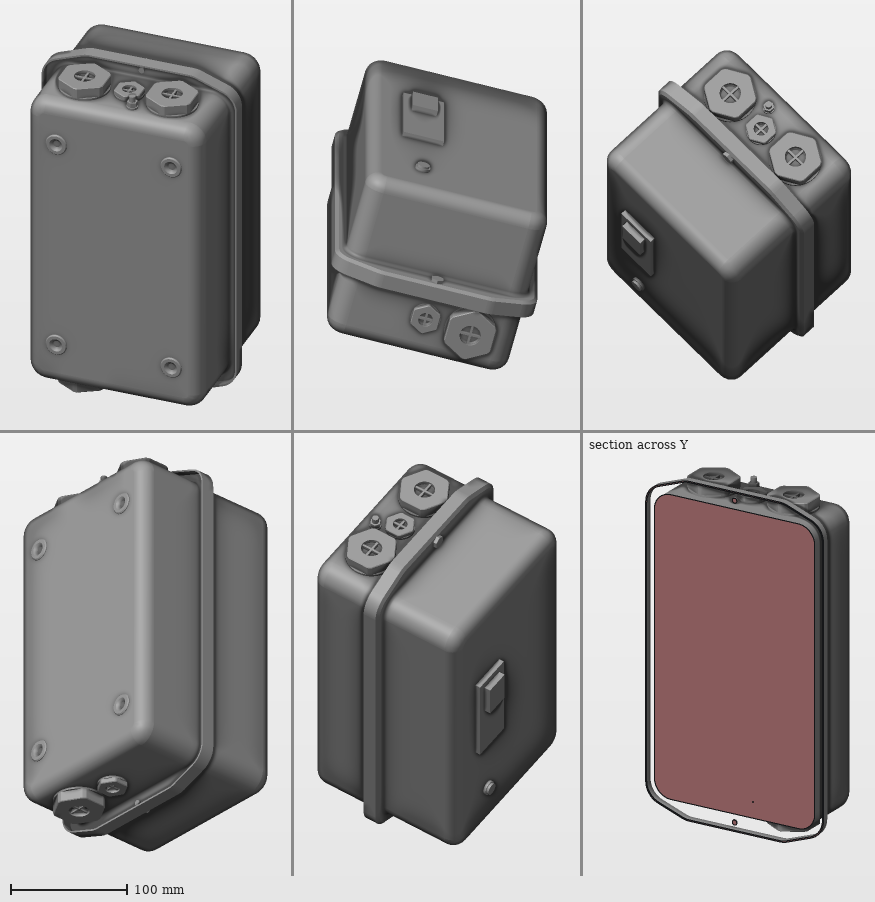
import cadquery as cq
import math


box_width = 161.3
front_height = 281.5
rear_height = 277.8
front_depth = 60.2
rear_depth = 75.3
corner_radius = 16.5
front_edge_radius = 12.3
rear_edge_radius = 11.5

flange_width = 180.0
flange_height = 315.0
flange_thickness = 14.5
flange_slope = 20.0
flange_flat_half = 49.5
flange_corner_radius = 19.5
flange_chamfer_depth = 3.0
flange_chamfer_inset = 2.2
rim_wall = 1.5
rim_depth = 7.5
root_radius = 2.8

gland_x = 40.3
gland_y = -25.5
gland_flats = 41.3
gland_corner_diameter = 45.7
gland_washer_diameter = 45.0
gland_height = 11.3
gland_socket_radius = 9.0
small_gland_y = -23.3
small_gland_flats = 24.0
small_gland_corner_diameter = 26.8
small_gland_washer_diameter = 25.8
small_gland_height = 6.0
small_gland_socket_radius = 6.3
washer_height = 2.0
hexagon_bevel = 0.5
socket_wall = 1.3
socket_depth = 4.7
cross_width = 2.0
cross_drop = 1.5

stud_x = 10.0
stud_y = -42.2
stud_washer_radius = 5.0
stud_nut_corner_diameter = 9.5
stud_nut_height = 6.3
stud_radius = 2.8
stud_height = 11.3

bolt_z = 149.0
bolt_nut_corner_diameter = 11.3
bolt_nut_height = 3.0
bolt_radius = 2.5
bolt_end_length = 2.5

screw_x = 53.0
screw_z = 100.2
screw_radius = 9.8
screw_height = 1.5
screw_bevel = 1.0
screw_mouth_radius = 6.0
screw_hole_radius = 3.0
screw_hole_depth = 2.5

switch_x = 32.8
plate_width = 36.2
plate_top = 57.0
plate_bottom = -30.5
plate_thickness = 4.7
button_width = 22.0
button_height = 30.0
button_z = 35.3
button_thickness = 5.7
lamp_z = -93.0
lamp_base_radius = 6.5
lamp_cap_radius = 5.5
lamp_base_height = 2.5

overlap = 1.5
front_face_y = -front_depth
rear_face_y = flange_thickness + rear_depth
floor_y = rim_depth
half_front_height = front_height / 2


def y_plane(y):
    """Sketch plane at the given Y: local x is X, local y is Z, extrusion goes toward -Y."""
    return cq.Workplane("XZ", origin=(0, y, 0))


def rounded_box(height, y_rear, y_front, face_selector, edge_radius):
    """Box between two Y planes with rounded corners and a rounded end face."""
    block = y_plane(y_rear).rect(box_width, height).extrude(y_rear - y_front)
    block = block.edges("|Y").fillet(corner_radius)
    return block.faces(face_selector).edges().fillet(edge_radius)


def flange_plate():
    """Eight-sided flange, chamfered at the rear and hollowed from the front."""
    half_width = flange_width / 2
    half_height = flange_height / 2
    drop = (half_width - flange_flat_half) * math.tan(math.radians(flange_slope))
    side_z = half_height - drop
    outline = [
        (-half_width, -side_z),
        (-flange_flat_half, -half_height),
        (flange_flat_half, -half_height),
        (half_width, -side_z),
        (half_width, side_z),
        (flange_flat_half, half_height),
        (-flange_flat_half, half_height),
        (-half_width, side_z),
    ]
    plate = y_plane(flange_thickness).polyline(outline).close().extrude(flange_thickness)
    plate = plate.edges("|Y").fillet(flange_corner_radius)
    hollow = plate.faces("<Y").wires().toPending().workplane().offset2D(-rim_wall)
    plate = hollow.cutBlind(-rim_depth)
    return plate.faces(">Y").chamfer(flange_chamfer_inset, flange_chamfer_depth)


def root_fillet(body, y):
    """Round the inside corner where a box wall meets the flange at the given Y."""
    reach = 0.15
    roots = cq.selectors.BoxSelector(
        (-box_width / 2 - reach, y - reach, -half_front_height - reach),
        (box_width / 2 + reach, y + reach, half_front_height + reach),
        boundingbox=True,
    )
    return body.edges(roots).fillet(root_radius)


def socket_gland(flats, corner_diameter, washer_diameter, height, socket_radius):
    """Hexagonal gland on a washer along +Z, with a cross set in its round socket."""
    hexagon = cq.Workplane("XY").workplane(offset=washer_height)
    hexagon = hexagon.polygon(6, flats / math.cos(math.pi / 6)).extrude(height - washer_height)
    hexagon = hexagon.rotate((0, 0, 0), (0, 0, 1), 90)
    corner_trim = cq.Workplane("XY").circle(corner_diameter / 2).extrude(height)
    washer = cq.Workplane("XY").workplane(offset=-overlap)
    washer = washer.circle(washer_diameter / 2).extrude(washer_height + overlap)
    hexagon = hexagon.intersect(corner_trim)
    gland = hexagon.faces(">Z").chamfer(hexagon_bevel).union(washer)

    mouth = cq.Workplane("XY").workplane(offset=height)
    mouth = mouth.circle(socket_radius).extrude(-socket_depth)
    mouth = mouth.faces("<Z").chamfer(socket_wall)
    gland = gland.cut(mouth)

    cross = cq.Workplane("XY").workplane(offset=height - socket_depth - overlap)
    cross_height = socket_depth + overlap - cross_drop
    for angle in (0, 90):
        bar = cross.rect(2 * socket_radius, cross_width).extrude(cross_height)
        gland = gland.union(bar.rotate((0, 0, 0), (0, 0, 1), angle))
    return gland


def large_gland():
    return socket_gland(
        gland_flats,
        gland_corner_diameter,
        gland_washer_diameter,
        gland_height,
        gland_socket_radius,
    )


def small_gland():
    return socket_gland(
        small_gland_flats,
        small_gland_corner_diameter,
        small_gland_washer_diameter,
        small_gland_height,
        small_gland_socket_radius,
    )


def earth_stud():
    """Round stud along +Z carrying a hexagonal nut on a washer."""
    washer = cq.Workplane("XY").workplane(offset=-overlap)
    washer = washer.circle(stud_washer_radius).extrude(washer_height + overlap)
    nut = cq.Workplane("XY").polygon(6, stud_nut_corner_diameter).extrude(stud_nut_height)
    nut = nut.rotate((0, 0, 0), (0, 0, 1), 90)
    stud = cq.Workplane("XY").circle(stud_radius).extrude(stud_height)
    return washer.union(nut).union(stud)


def on_top(fitting, x, y):
    return fitting.translate((x, y, half_front_height))


def on_bottom(fitting, x, y):
    return on_top(fitting, x, y).mirror("XY")


def flange_bolt(z):
    """Hexagon behind the flange and round bolt end on the flange floor."""
    nut = y_plane(flange_thickness + bolt_nut_height).center(0, z)
    nut = nut.polygon(6, bolt_nut_corner_diameter).extrude(bolt_nut_height + overlap)
    nut = nut.rotate((0, 0, z), (0, 1, z), 90)
    shank = y_plane(flange_thickness).center(0, z)
    shank = shank.circle(bolt_radius).extrude(flange_thickness - floor_y + bolt_end_length)
    return nut.union(shank)


def add_cover_screws(body):
    """Four bevelled screw heads with conical holes on the front face."""
    positions = [(x, z) for x in (-screw_x, screw_x) for z in (-screw_z, screw_z)]
    top_y = front_face_y - screw_height
    heads = y_plane(front_face_y + overlap).pushPoints(positions).circle(screw_radius)
    heads = heads.extrude(screw_height + overlap).faces("<Y").edges().chamfer(screw_bevel)
    body = body.union(heads)
    for x, z in positions:
        hole = y_plane(top_y).center(x, z).circle(screw_mouth_radius)
        hole = hole.workplane(offset=-screw_hole_depth).circle(screw_hole_radius).loft()
        body = body.cut(hole)
    return body


def rear_controls():
    """Switch plate with its raised button, and a stepped round lamp."""
    plate_y = rear_face_y + plate_thickness
    button_y = plate_y + button_thickness
    plate = y_plane(plate_y).center(switch_x, (plate_top + plate_bottom) / 2)
    plate = plate.rect(plate_width, plate_top - plate_bottom).extrude(plate_thickness + overlap)
    button = y_plane(button_y).center(switch_x, button_z)
    button = button.rect(button_width, button_height).extrude(button_thickness + overlap)
    lamp_base = y_plane(rear_face_y + lamp_base_height).center(switch_x, lamp_z)
    lamp_base = lamp_base.circle(lamp_base_radius).extrude(lamp_base_height + overlap)
    lamp_cap = y_plane(plate_y).center(switch_x, lamp_z)
    lamp_cap = lamp_cap.circle(lamp_cap_radius).extrude(plate_thickness)
    return [plate, button, lamp_base, lamp_cap]


front_box = rounded_box(front_height, floor_y, front_face_y, "<Y", front_edge_radius)
rear_box = rounded_box(rear_height, rear_face_y, flange_thickness, ">Y", rear_edge_radius)
result = flange_plate().union(front_box).union(rear_box)
result = root_fillet(result, floor_y)
result = root_fillet(result, flange_thickness)

fittings = [
    on_top(large_gland(), -gland_x, gland_y),
    on_top(large_gland(), gland_x, gland_y),
    on_top(small_gland(), 0, small_gland_y),
    on_top(earth_stud(), stud_x, stud_y),
    on_bottom(large_gland(), -gland_x, gland_y),
    on_bottom(small_gland(), 0, small_gland_y),
    flange_bolt(bolt_z),
    flange_bolt(-bolt_z),
]
for fitting in fittings + rear_controls():
    result = result.union(fitting)
result = add_cover_screws(result)